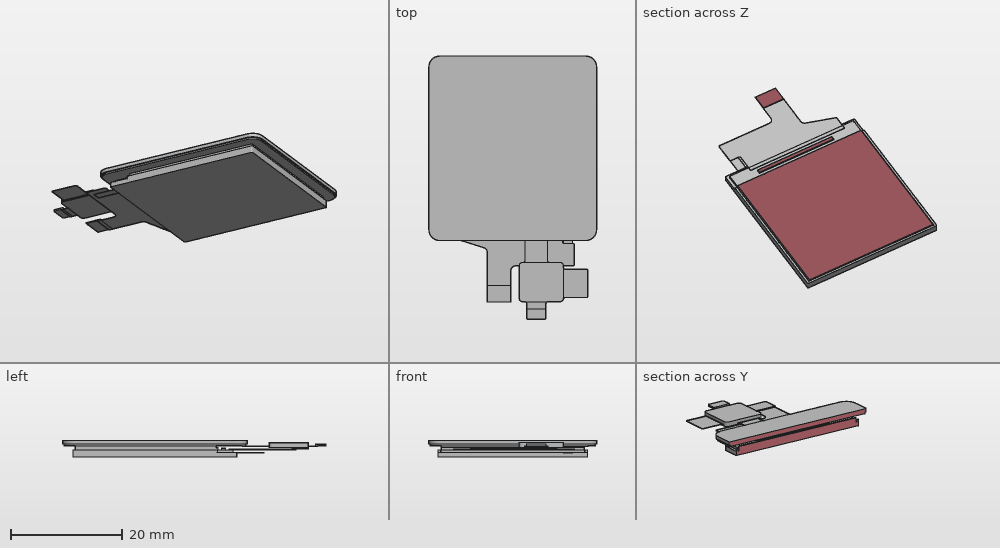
import cadquery as cq


total_length = 47.29

total_height = 3.0
cover_thickness = 0.7
sensor_thickness = 0.3
adhesive_thickness = 0.15
polarizer_thickness = 0.15
upper_glass_thickness = 0.4
lower_glass_thickness = 0.45
flex_thickness = 0.1

cover_bottom = total_height - cover_thickness
sensor_bottom = cover_bottom - sensor_thickness
adhesive_bottom = sensor_bottom - adhesive_thickness
polarizer_bottom = adhesive_bottom - polarizer_thickness
ledge_top = polarizer_bottom - upper_glass_thickness
frame_floor = ledge_top - lower_glass_thickness

cover_width = 30.16
cover_length = 33.16
cover_radius = 2.0
sensor_inset = 0.25
window_size = 23.4
window_center_y = 1.5

panel_half_width = 12.86
panel_top_y = 14.3
adhesive_end_y = -11.05
upper_glass_end_y = -11.35
lower_glass_end_y = -14.05

frame_half_width = 13.43
frame_top_y = 14.7
frame_bottom_y = -14.7
frame_radius = 0.2
frame_wall = 0.43
wall_end_y = -11.2

driver_left = -7.6
driver_right = 7.9
driver_top_y = -11.95
driver_bottom_y = -12.7
driver_thickness = 0.3

backlight_flex_left = 9.1
backlight_flex_right = 10.75
backlight_flex_end_y = -19.6
backlight_flex_bottom = 0.7

main_flex_left = -10.6
main_flex_top_y = -13.3
slope_start_y = -16.15
slope_end_y = -18.05
tail_left = -4.6
tail_right = -0.35
tail_end_y = -27.6
main_flex_bottom_y = -21.1
main_flex_right = 11.05
notch_x = 8.95
notch_y = -17.05
tail_stiffener_top_y = -24.6
tail_flex_end_y = -25.3
tail_stiffener_thickness = 0.2
slope_radius = 0.8
tail_radius = 0.9

touch_flex_left = 2.2
touch_flex_right = 6.25
touch_flex_top_y = -15.7
block_left = 1.15
block_right = 9.1
block_top_y = -20.5
block_bottom_y = -27.55
block_radius = 0.6
block_top = 2.6
block_bottom = polarizer_bottom
side_tab_right = 13.48
side_tab_top_y = -21.7
side_tab_bottom_y = -26.8
connector_left = 2.5
connector_right = 5.95
connector_top_y = -28.8
connector_flex_end_y = -29.2
connector_end_y = cover_length / 2 - total_length
connector_thickness = 0.3

flex_corner_radius = 0.25
flex_inner_radius = 0.4


def box(left, right, bottom_y, top_y, bottom, top):
    """Upright block between the given X, Y and Z limits."""
    size = (right - left, top_y - bottom_y, top - bottom)
    return cq.Workplane("XY").box(*size, centered=False).translate((left, bottom_y, bottom))


def plate(outline, bottom, thickness):
    """Flat plate with a polygonal outline."""
    return cq.Workplane("XY").workplane(offset=bottom).polyline(outline).close().extrude(thickness)


def round_corners(solid, corners, radius, height):
    """Round the upright edges at the given XY corners, found near the given height."""
    for x, y in corners:
        edge = cq.NearestToPointSelector((x, y, height))
        solid = solid.edges("|Z").edges(edge).fillet(radius)
    return solid


def cover_glass():
    """Rounded cover glass whose top is split into a border and a flush viewing window."""
    glass = (
        cq.Workplane("XY")
        .workplane(offset=cover_bottom)
        .rect(cover_width, cover_length)
        .extrude(cover_thickness)
        .edges("|Z")
        .fillet(cover_radius)
    )
    window = (
        cq.Workplane("XY")
        .workplane(offset=cover_bottom)
        .center(0, window_center_y)
        .rect(window_size, window_size)
        .extrude(cover_thickness)
    )
    return glass.cut(window).union(window, clean=False)


def touch_sensor():
    return (
        cq.Workplane("XY")
        .workplane(offset=sensor_bottom)
        .rect(cover_width - 2 * sensor_inset, cover_length - 2 * sensor_inset)
        .extrude(sensor_thickness)
        .edges("|Z")
        .fillet(cover_radius - sensor_inset)
    )


def panel_layer(end_y, bottom, top):
    """One full-width layer of the LCD panel, reaching down to end_y."""
    return box(-panel_half_width, panel_half_width, end_y, panel_top_y, bottom, top)


def backlight_frame():
    """Tray with a rim on three sides; the rim stops short of the -Y edge."""
    frame = box(
        -frame_half_width, frame_half_width, frame_bottom_y, frame_top_y, 0, ledge_top
    )
    frame = frame.edges("|Z").fillet(frame_radius)
    pocket_half_width = frame_half_width - frame_wall
    pocket_top_y = frame_top_y - frame_wall
    pocket = box(
        -pocket_half_width, pocket_half_width, frame_bottom_y, pocket_top_y, frame_floor, ledge_top
    )
    open_end = box(
        -frame_half_width, frame_half_width, frame_bottom_y, wall_end_y, frame_floor, ledge_top
    )
    return frame.cut(pocket).cut(open_end)


def driver_chip():
    return box(
        driver_left,
        driver_right,
        driver_bottom_y,
        driver_top_y,
        ledge_top,
        ledge_top + driver_thickness,
    )


def backlight_flex():
    return box(
        backlight_flex_left,
        backlight_flex_right,
        backlight_flex_end_y,
        frame_bottom_y,
        backlight_flex_bottom,
        backlight_flex_bottom + flex_thickness,
    )


def main_flex():
    slope_end = (tail_left, slope_end_y)
    tail_inner_corner = (tail_right, main_flex_bottom_y)
    lower_right = (main_flex_right, main_flex_bottom_y)
    upper_right = (main_flex_right, notch_y)
    notch_corner = (notch_x, notch_y)
    outline = [
        (main_flex_left, main_flex_top_y),
        (main_flex_left, slope_start_y),
        slope_end,
        (tail_left, tail_flex_end_y),
        (tail_right, tail_flex_end_y),
        tail_inner_corner,
        lower_right,
        upper_right,
        notch_corner,
        (notch_x, main_flex_top_y),
    ]
    flex = plate(outline, ledge_top, flex_thickness)
    flex = round_corners(flex, [slope_end], slope_radius, ledge_top)
    flex = round_corners(flex, [tail_inner_corner], tail_radius, ledge_top)
    small_corners = [lower_right, upper_right, notch_corner]
    return round_corners(flex, small_corners, flex_corner_radius, ledge_top)


def tail_stiffener():
    bottom = ledge_top + flex_thickness
    return box(
        tail_left,
        tail_right,
        tail_end_y,
        tail_stiffener_top_y,
        bottom,
        bottom + tail_stiffener_thickness,
    )


def touch_flex():
    """Strip that widens under the controller block and branches to a side tab and a connector."""
    bottom = sensor_bottom - flex_thickness
    inner_corners = [
        (touch_flex_left, block_top_y),
        (touch_flex_right, block_top_y),
        (block_right, side_tab_top_y),
        (block_right, side_tab_bottom_y),
        (connector_left, block_bottom_y),
        (connector_right, block_bottom_y),
    ]
    tab_corners = [(side_tab_right, side_tab_top_y), (side_tab_right, side_tab_bottom_y)]
    body_corners = [
        (block_left, block_top_y),
        (block_right, block_top_y),
        (block_right, block_bottom_y),
        (block_left, block_bottom_y),
    ]
    top = sensor_bottom
    strip = box(touch_flex_left, touch_flex_right, block_top_y, touch_flex_top_y, bottom, top)
    body = box(block_left, block_right, block_bottom_y, block_top_y, bottom, top)
    tab = box(block_right, side_tab_right, side_tab_bottom_y, side_tab_top_y, bottom, top)
    tongue = box(
        connector_left, connector_right, connector_flex_end_y, block_bottom_y, bottom, top
    )
    flex = body.union(strip).union(tab).union(tongue)
    flex = round_corners(flex, body_corners, block_radius, bottom)
    flex = round_corners(flex, inner_corners, flex_inner_radius, bottom)
    return round_corners(flex, tab_corners, flex_corner_radius, bottom)


def controller_block():
    block = box(block_left, block_right, block_bottom_y, block_top_y, block_bottom, block_top)
    return block.edges("|Z").fillet(block_radius)


def connector():
    block = box(
        connector_left,
        connector_right,
        connector_end_y,
        connector_top_y,
        sensor_bottom,
        sensor_bottom + connector_thickness,
    )
    return block.edges("|Z and <Y").fillet(flex_corner_radius)


parts = [
    touch_sensor(),
    panel_layer(adhesive_end_y, adhesive_bottom, sensor_bottom),
    panel_layer(adhesive_end_y, polarizer_bottom, adhesive_bottom),
    panel_layer(upper_glass_end_y, ledge_top, polarizer_bottom),
    panel_layer(lower_glass_end_y, frame_floor, ledge_top),
    backlight_frame(),
    driver_chip(),
    backlight_flex(),
    main_flex(),
    tail_stiffener(),
    touch_flex().cut(controller_block(), clean=False),
    controller_block(),
    connector(),
]
result = cover_glass()
for part in parts:
    result = result.union(part, clean=False)